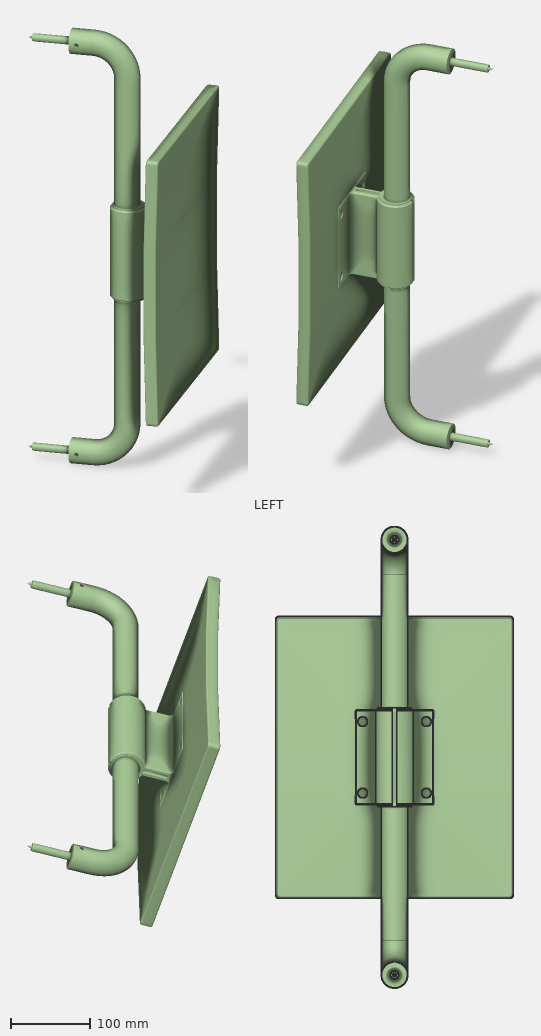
import cadquery as cq
import math


overall_height = 582.0
tube_diameter = 33.0
tube_radius = tube_diameter / 2
leg_face_x = 56.0
tube_axis_x = 128.5
bend_radius = 43.5
leg_axis_z = overall_height / 2 - tube_radius
bend_start_x = tube_axis_x - bend_radius

stud_radius = 5.0
stud_end_radius = 4.95
stud_end_x = 5.0
stud_chamfer_length = 4.5
tip_radius = 2.5
tip_end_radius = 0.5

set_hole_radius = 3.0
set_hole_x = 66.5

clamp_offset = 2.0
clamp_axis_x = tube_axis_x + clamp_offset
bushing_radius = 21.0
bushing_height = 124.5
shell_radius = 24.0
clamp_height = 121.0
shell_slit = 5.0
clamp_edge = 2.0
tab_thickness = 5.0
tab_gap = 5.0
tab_root_radius = 2.5
tab_bend_radius = 5.0
tab_outer_y = tab_gap / 2 + tab_thickness
gap_end_x = 184.0
clamp_pin_radius = 3.5
clamp_pin_x = 160.0

flange_width = 100.0
flange_thickness = 5.0
flange_corner = 3.0
flange_hole_diameter = 12.0
flange_hole_pitch_y = 80.5
flange_hole_pitch_z = 90.0

board_width = 300.0
board_height = 355.5
board_thickness = 16.5
board_sagitta = 3.5
board_end_x = 209.0
board_corner = 4.5
board_edge = 2.5
board_apex_x = board_end_x - board_thickness - board_sagitta
flange_proud = 0.5
flange_face_x = board_apex_x - flange_proud


def make_tube():
    """One swept bar: leg, bend, upright, bend, leg."""
    upright_end_z = leg_axis_z - bend_radius
    arc_mid = bend_radius * math.sqrt(0.5)
    path = (
        cq.Workplane("XZ")
        .moveTo(leg_face_x, -leg_axis_z)
        .lineTo(bend_start_x, -leg_axis_z)
        .threePointArc((bend_start_x + arc_mid, -upright_end_z - arc_mid), (tube_axis_x, -upright_end_z))
        .lineTo(tube_axis_x, upright_end_z)
        .threePointArc((bend_start_x + arc_mid, upright_end_z + arc_mid), (bend_start_x, leg_axis_z))
        .lineTo(leg_face_x, leg_axis_z)
    )
    profile = cq.Workplane("YZ", origin=(leg_face_x, 0, -leg_axis_z)).circle(tube_radius)
    return profile.sweep(path)


def make_stud(axis_z):
    """Round stud with a tapered end and a small conical tip, reaching into the leg."""
    half_profile = (
        cq.Workplane("XZ", origin=(0, 0, axis_z))
        .moveTo(0, 0)
        .lineTo(0, tip_end_radius)
        .lineTo(stud_end_x, tip_radius)
        .lineTo(stud_end_x, stud_end_radius)
        .lineTo(stud_end_x + stud_chamfer_length, stud_radius)
        .lineTo(set_hole_x, stud_radius)
        .lineTo(set_hole_x, 0)
        .close()
    )
    return half_profile.revolve(360, (0, 0, 0), (1, 0, 0))


def make_set_hole(axis_z):
    """Radial hole from the -Y side of a leg down to the stud."""
    depth = tube_radius - stud_radius
    return (
        cq.Workplane("XZ", origin=(set_hole_x, -stud_radius, axis_z))
        .circle(set_hole_radius)
        .extrude(depth)
    )


def make_clamp():
    """Split shell with two parallel tabs, on a bushing around the tube."""
    shell = cq.Workplane("XY").center(clamp_axis_x, 0).circle(shell_radius).extrude(clamp_height / 2, both=True)

    tab_length = flange_face_x + flange_thickness - clamp_axis_x
    tabs = cq.Workplane("XY").box(tab_length, 2 * tab_outer_y, clamp_height, centered=(False, True, True))
    tabs = tabs.translate((clamp_axis_x, 0, 0))

    flange = cq.Workplane("XY").box(flange_thickness, flange_width, clamp_height, centered=(False, True, True))
    flange = flange.translate((flange_face_x, 0, 0)).edges("|X").fillet(flange_corner)

    body = shell.union(tabs).union(flange)

    reach = 1.0
    root_x = clamp_axis_x + math.sqrt(shell_radius**2 - tab_outer_y**2)
    for x, radius in ((root_x, tab_root_radius), (flange_face_x, tab_bend_radius)):
        corner = cq.selectors.BoxSelector(
            (x - reach, -tab_outer_y - reach, -reach),
            (x + reach, tab_outer_y + reach, reach),
        )
        body = body.edges("|Z").edges(corner).fillet(radius)

    body = body.faces("<Z or >Z").edges().chamfer(clamp_edge)

    slit = cq.Workplane("XY").box(shell_radius, shell_slit, clamp_height, centered=(False, True, True))
    body = body.cut(slit.translate((clamp_axis_x - shell_radius, 0, 0)))
    gap = cq.Workplane("XY").box(gap_end_x - clamp_axis_x, tab_gap, clamp_height, centered=(False, True, True))
    body = body.cut(gap.translate((clamp_axis_x, 0, 0)))

    pin = (
        cq.Workplane("XZ", origin=(clamp_pin_x, 0, 0))
        .circle(clamp_pin_radius)
        .extrude(tab_outer_y - tab_thickness / 2, both=True)
    )
    bushing = (
        cq.Workplane("XY").center(clamp_axis_x, 0).circle(bushing_radius).extrude(bushing_height / 2, both=True)
    )
    return body.union(pin).union(bushing)


def make_board():
    """Bowed plate with rounded corners, its hollow side facing +X."""
    half_height = board_height / 2
    rear_end_x = board_end_x - board_thickness
    board = (
        cq.Workplane("XZ")
        .moveTo(rear_end_x, -half_height)
        .threePointArc((rear_end_x - board_sagitta, 0), (rear_end_x, half_height))
        .lineTo(board_end_x, half_height)
        .threePointArc((board_end_x - board_sagitta, 0), (board_end_x, -half_height))
        .close()
        .extrude(board_width / 2, both=True)
    )
    board = board.edges("|X").fillet(board_corner)
    board = board.faces("<X").edges().fillet(board_edge)
    return board.faces(">X").edges().fillet(board_edge)


flange_holes = (
    cq.Workplane("YZ", origin=(flange_face_x, 0, 0))
    .rect(flange_hole_pitch_y, flange_hole_pitch_z, forConstruction=True)
    .vertices()
    .circle(flange_hole_diameter / 2)
    .extrude(flange_thickness)
)

part = make_board().union(make_clamp()).cut(flange_holes).union(make_tube())
for leg_z in (-leg_axis_z, leg_axis_z):
    part = part.cut(make_set_hole(leg_z)).union(make_stud(leg_z))

result = part